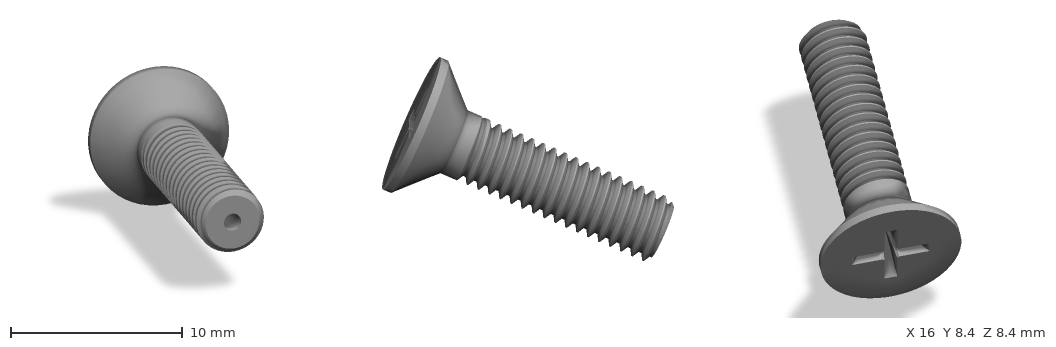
import cadquery as cq
import math

length = 16.0
head_diameter = 8.4
rim_thickness = 0.5
shank_diameter = 4.0
tip_chamfer = 0.37
bore_diameter = 1.04

head_radius = head_diameter / 2
shank_radius = shank_diameter / 2
cone_end = rim_thickness + head_radius - shank_radius

pitch = shank_diameter * 0.7 / 4
crest_flat = pitch / 8
root_flat = pitch / 4
flank_slope = math.tan(math.radians(30))
thread_depth = (pitch - crest_flat - root_flat) / 2 / flank_slope
root_radius = shank_radius - thread_depth
overcut = 0.03

thread_start = 3.92
start_angle = 270.0
runout_angle = 126.0

arm_span_at_face = 4.6
arm_width_at_face = 0.75
arm_span_at_floor = 1.42
arm_width_at_floor = 0.35
recess_depth = 2.08
floor_drop = 0.1
centre_diameter_at_face = 1.22


def make_blank():
    """Turned body: rim, countersink cone, shank and chamfered tip."""
    return (
        cq.Workplane("XY")
        .lineTo(0, head_radius)
        .lineTo(rim_thickness, head_radius)
        .lineTo(cone_end, shank_radius)
        .lineTo(length - tip_chamfer, shank_radius)
        .lineTo(length, shank_radius - tip_chamfer)
        .lineTo(length, 0)
        .close()
        .revolve(360, (0, 0, 0), (1, 0, 0))
    )


def groove_section(turned, root):
    """Groove outline at an angle in degrees past the first full-depth point."""
    x = thread_start + pitch * turned / 360
    outer = shank_radius + overcut
    half_root = root_flat / 2
    half_mouth = half_root + (outer - root) * flank_slope
    corners = [
        (x - half_root, root),
        (x + half_root, root),
        (x + half_mouth, outer),
        (x - half_mouth, outer),
    ]
    angle = math.radians(start_angle + turned)
    points = [cq.Vector(a, r * math.cos(angle), r * math.sin(angle)) for a, r in corners]
    return cq.Wire.makePolygon(points, close=True)


def make_groove_turn(turn):
    """Constant-depth helical groove, one full turn long."""
    helix = cq.Wire.makeHelix(pitch, pitch, root_radius)
    helix = helix.rotate(cq.Vector(), cq.Vector(1, 1, 1), 120)
    helix = helix.rotate(cq.Vector(), cq.Vector(1, 0, 0), start_angle)
    helix = helix.translate(cq.Vector(thread_start + turn * pitch, 0, 0))
    return cq.Solid.sweep(groove_section(360 * turn, root_radius), [], helix, isFrenet=True)


def make_thread_runout():
    """Groove of fading depth that joins the thread to the plain shank."""
    steps = 8
    sections = []
    for step in range(steps + 1):
        fade = step / steps
        root = root_radius + fade * thread_depth
        sections.append(groove_section(-fade * runout_angle, root))
    return cq.Solid.makeLoft(sections)


def make_slot():
    """One bar of the cross, sinking along +X to a floor that slopes into the bore."""
    bar = (
        cq.Workplane("YZ")
        .rect(arm_width_at_face, arm_span_at_face)
        .workplane(offset=recess_depth)
        .rect(arm_width_at_floor, arm_span_at_floor)
        .loft(ruled=True)
    )
    sloping_floor = (
        cq.Workplane("YZ", origin=(recess_depth, 0, 0))
        .rect(arm_width_at_floor, arm_span_at_floor)
        .workplane(offset=floor_drop)
        .rect(arm_width_at_floor, bore_diameter)
        .loft(ruled=True)
    )
    return bar.union(sloping_floor)


def make_centre_relief():
    """Slightly conical clearance at the middle of the cross."""
    return (
        cq.Workplane("YZ")
        .circle(centre_diameter_at_face / 2)
        .workplane(offset=recess_depth)
        .circle(bore_diameter / 2)
        .loft()
    )


upright_slot = make_slot()
level_slot = upright_slot.rotate((0, 0, 0), (1, 0, 0), 90)
bore = cq.Workplane("YZ").circle(bore_diameter / 2).extrude(length)

result = make_blank()
turn_count = math.ceil((length - thread_start) / pitch)
for turn in range(turn_count):
    result = result.cut(cq.Workplane(make_groove_turn(turn)))

result = (
    result.cut(cq.Workplane(make_thread_runout()))
    .cut(upright_slot)
    .cut(level_slot)
    .cut(make_centre_relief())
    .cut(bore)
)